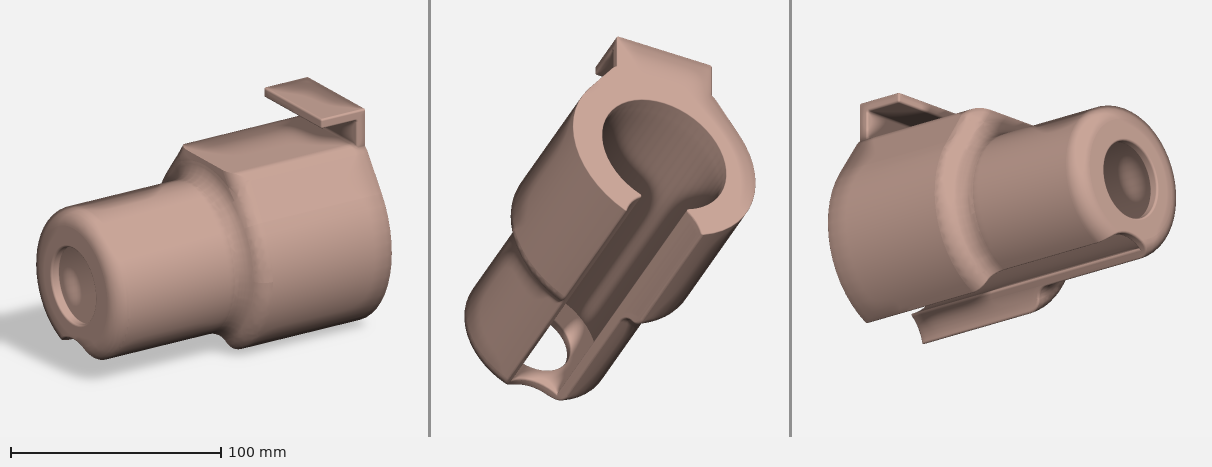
import cadquery as cq
import math

LENGTH = 150.0
BODY_LENGTH = 75.0
BODY_RADIUS = 48.0
BARREL_RADIUS = 37.5
LARGE_ROUND = 8.0
SMALL_ROUND = 1.0
BACK_ROUND = 0.5

BORE_RADIUS = 38.0 / 2
CAVITY_RADIUS = 32.5
LIP_THICKNESS = 5.0

GROOVE_RADIUS = 20.0
GROOVE_TOP = -27.5

HOOK_WIDTH = 50.0
HOOK_HEIGHT = 18.0
HOOK_REACH = 25.0
HOOK_THICKNESS = 5.0

NEAR = 0.2


def cylinder(radius, start, end, height=0.0):
    """Cylinder along Y from start forward to end, with its axis at Z = height."""
    plane = cq.Workplane("XZ", origin=(0, start, height))
    return plane.circle(radius).extrude(start - end)


def region(low, high):
    """Selector for edges whose centres lie between two corner points."""
    return cq.selectors.BoxSelector(low, high)


def make_prism(length):
    """Round block whose sides run tangentially up to a flat top as wide as the hook."""
    half_top = HOOK_WIDTH / 2
    side_angle = math.pi / 2 - 2 * math.atan(half_top / BODY_RADIUS)
    tangent_x = BODY_RADIUS * math.cos(side_angle)
    tangent_z = BODY_RADIUS * math.sin(side_angle)
    return (
        cq.Workplane("XZ")
        .moveTo(-half_top, BODY_RADIUS)
        .lineTo(half_top, BODY_RADIUS)
        .lineTo(tangent_x, tangent_z)
        .threePointArc((0, -BODY_RADIUS), (-tangent_x, tangent_z))
        .close()
        .extrude(length)
    )


def make_outside():
    """Body and barrel with a hollow round in the neck and rounds on the shoulder and top corners."""
    barrel = cylinder(BARREL_RADIUS, -BODY_LENGTH / 2, -LENGTH)
    barrel = barrel.faces("<Y").edges().fillet(LARGE_ROUND)
    outside = make_prism(BODY_LENGTH).union(barrel)

    shoulder = -BODY_LENGTH
    neck = region((-NEAR, shoulder - NEAR, -NEAR), (NEAR, shoulder + NEAR, NEAR))
    outside = outside.edges(neck).fillet(LARGE_ROUND)

    rim = region(
        (-BODY_RADIUS, shoulder - NEAR, -BODY_RADIUS - NEAR),
        (BODY_RADIUS, shoulder + NEAR, BODY_RADIUS - NEAR),
    )
    outside = outside.edges(rim - neck).fillet(LARGE_ROUND)

    rounded_prism = make_prism(LENGTH).edges("|Y and >Z").fillet(LARGE_ROUND)
    return outside.intersect(rounded_prism)


def make_hook():
    """L-shaped plate: an upright at the back and an arm reaching forward, rounded except at the back."""
    root = BODY_RADIUS - LARGE_ROUND / 2
    top = BODY_RADIUS + HOOK_HEIGHT
    hook = (
        cq.Workplane("YZ")
        .moveTo(0, root)
        .lineTo(0, top)
        .lineTo(-HOOK_REACH, top)
        .lineTo(-HOOK_REACH, top - HOOK_THICKNESS)
        .lineTo(-HOOK_THICKNESS, top - HOOK_THICKNESS)
        .lineTo(-HOOK_THICKNESS, root)
        .close()
        .extrude(HOOK_WIDTH / 2, both=True)
    )
    return hook.edges("not(<Z or >Y)").fillet(SMALL_ROUND)


def add_hook(part):
    """Stand the hook on the flat top, with a small hollow round along its foot."""
    part = part.union(make_hook())
    foot = region(
        (-HOOK_WIDTH / 2, -HOOK_THICKNESS - NEAR, BODY_RADIUS - SMALL_ROUND),
        (HOOK_WIDTH / 2, -HOOK_THICKNESS + NEAR, BODY_RADIUS + NEAR),
    )
    return part.edges(foot).fillet(SMALL_ROUND)


def cut_inside(part):
    """Bore with rounded ends through the lip, and the cavity behind it."""
    lip_back = -LENGTH + LIP_THICKNESS
    part = part.cut(cylinder(BORE_RADIUS, 0, -LENGTH))
    part = part.cut(cylinder(CAVITY_RADIUS, 0, lip_back))
    lip = region((-NEAR, -LENGTH - NEAR, -NEAR), (NEAR, lip_back + NEAR, NEAR))
    smallest_circles = cq.selectors.RadiusNthSelector(0)
    return part.edges(lip).edges(smallest_circles).fillet(SMALL_ROUND)


def cut_groove(part):
    """Groove along the underside with all its edges rounded."""
    part = part.cut(cylinder(GROOVE_RADIUS, 0, -LENGTH, GROOVE_TOP - GROOVE_RADIUS))
    inside_groove = region(
        (-GROOVE_RADIUS, -LENGTH - NEAR, -BODY_RADIUS),
        (GROOVE_RADIUS, NEAR, GROOVE_TOP + NEAR),
    )
    return part.edges(inside_groove).fillet(SMALL_ROUND)


def round_back(part):
    """Break the edges of the back face, including the hook's outline and the cavity mouth."""
    return part.faces(">Y").edges().fillet(BACK_ROUND)


result = make_outside()
result = add_hook(result)
result = cut_inside(result)
result = cut_groove(result)
result = round_back(result)